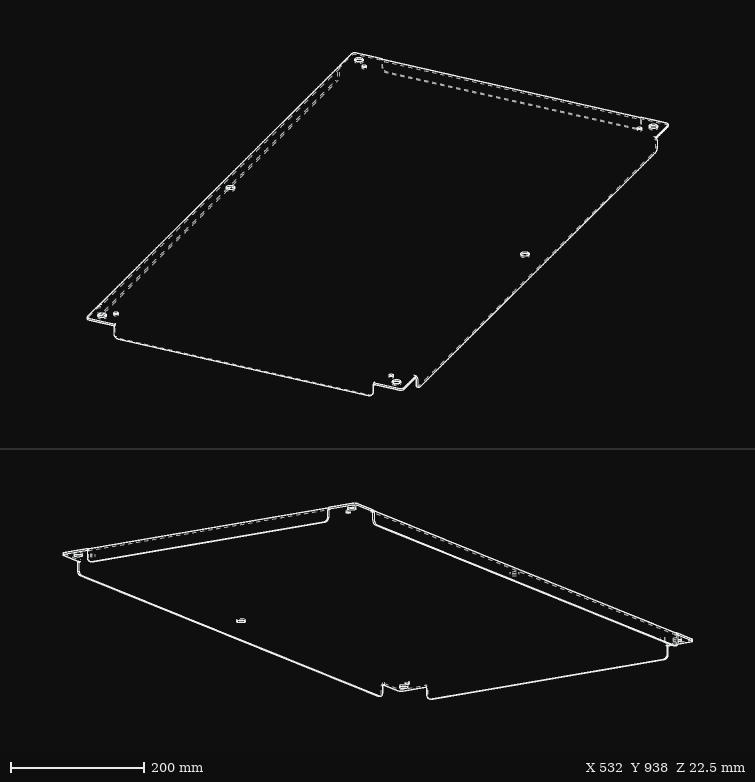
import cadquery as cq

width = 532.0
length = 938.0
height = 22.5

sheet = 3.0
bend_radius = 6.0
edge_inset = 3.0
corner_radius = 6.0

flange_setback = 51.0
flange_corner_radius = 7.5

mount_diameter = 13.0
mount_x = 245.0
mount_y = 448.0
pilot_diameter = 7.1
pilot_x = 229.0
pilot_y = 433.0


def make_plate():
    """Flat sheet with rounded corners; its top face lies at Z = height."""
    plate_width = width - 2 * edge_inset
    plate_length = length - 2 * edge_inset
    return (
        cq.Workplane("XY")
        .workplane(offset=height - sheet)
        .rect(plate_width, plate_length)
        .extrude(sheet)
        .edges("|Z")
        .fillet(corner_radius)
    )


def clear_bend_strip(plate, reach, span):
    """Remove the flat edge of the +X side where the bend takes its place."""
    strip = cq.Workplane("XY").box(2 * bend_radius, span, 2 * height)
    return plate.cut(strip.translate((reach, 0, height)))


def make_flange(reach, span):
    """Bent flange on the +X side with rounded lower corners and outer face at X = reach."""
    bend_start = reach - bend_radius
    bend_bottom = height - bend_radius
    inner_radius = bend_radius - sheet
    profile = (
        cq.Workplane("XZ")
        .moveTo(bend_start, height)
        .radiusArc((reach, bend_bottom), bend_radius)
        .lineTo(reach, 0)
        .lineTo(reach - sheet, 0)
        .lineTo(reach - sheet, bend_bottom)
        .radiusArc((bend_start, bend_bottom + inner_radius), -inner_radius)
        .close()
    )
    flange = profile.extrude(span / 2, both=True)
    return flange.faces("<Z").edges("|X").fillet(flange_corner_radius)


part = make_plate()
sides = (
    (0, width / 2, length - 2 * flange_setback),
    (90, length / 2, width - 2 * flange_setback),
)
for base_angle, reach, span in sides:
    flange = make_flange(reach, span)
    for angle in (base_angle, base_angle + 180):
        part = part.rotate((0, 0, 0), (0, 0, 1), -angle)
        part = clear_bend_strip(part, reach, span).union(flange)
        part = part.rotate((0, 0, 0), (0, 0, 1), angle)

mount_points = [(x, y) for x in (-mount_x, mount_x) for y in (-mount_y, 0, mount_y)]
pilot_points = [(x, y) for x in (-pilot_x, pilot_x) for y in (-pilot_y, pilot_y)]

for points, diameter in ((mount_points, mount_diameter), (pilot_points, pilot_diameter)):
    drills = cq.Workplane("XY").pushPoints(points).circle(diameter / 2).extrude(height)
    part = part.cut(drills)

result = part